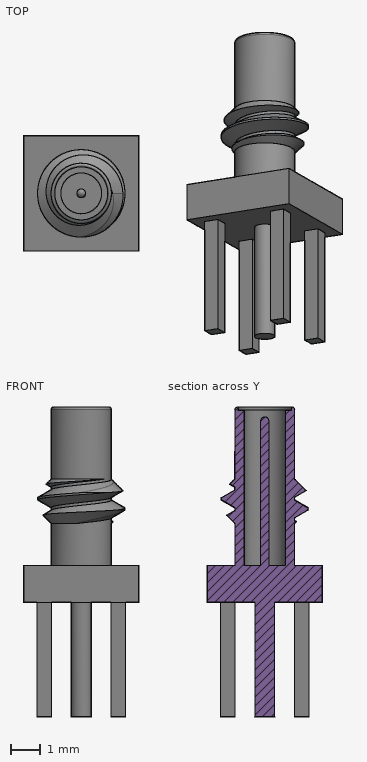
import cadquery as cq
import math

total_height = 10.64
base_side = 3.96
base_height = 1.27
leg_length = 3.93

leg_side = 0.51
leg_spacing = 2.54
contact_tail_diameter = 0.7
contact_pin_diameter = 0.3
pin_tip_below_rim = 0.34

barrel_radius = 1.035
barrel_top = total_height - leg_length
rim_fillet = 0.1
rim_recess_diameter = 1.82
rim_recess_depth = 0.11
bore_diameter = 1.4
bore_floor = base_height

flank_angle = math.radians(30)
thread_major_diameter = 3.0
thread_pitch = 25.4 / 36
crest_flat = 0.07
thread_start = base_height + 1.435
thread_length = 1.524
crest_start = base_height + 1.933
turns_below_crest_start = 1
thread_turns = 4
root_overlap = 0.05


def cylinder(diameter, bottom, top):
    return cq.Workplane("XY").workplane(offset=bottom).circle(diameter / 2).extrude(top - bottom)


def make_base():
    return cq.Workplane("XY").rect(base_side, base_side).extrude(base_height)


def make_legs():
    return (
        cq.Workplane("XY")
        .rarray(leg_spacing, leg_spacing, 2, 2)
        .rect(leg_side, leg_side)
        .extrude(-leg_length)
    )


def make_barrel():
    barrel = cylinder(2 * barrel_radius, base_height, barrel_top)
    return barrel.faces(">Z").edges().fillet(rim_fillet)


def make_thread():
    """Helical ridge trimmed by a 45 degree cone at each end."""
    ridge_start = crest_start - turns_below_crest_start * thread_pitch
    inner_radius = barrel_radius - root_overlap
    crest_radius = thread_major_diameter / 2
    half_crest = crest_flat / 2
    half_inner = half_crest + (crest_radius - inner_radius) * math.tan(flank_angle)
    helix = cq.Wire.makeHelix(
        thread_pitch, thread_turns * thread_pitch, barrel_radius, cq.Vector(0, 0, ridge_start)
    )
    ridge = (
        cq.Workplane("XZ")
        .polyline(
            [
                (inner_radius, ridge_start - half_inner),
                (crest_radius, ridge_start - half_crest),
                (crest_radius, ridge_start + half_crest),
                (inner_radius, ridge_start + half_inner),
            ]
        )
        .close()
        .sweep(cq.Workplane(obj=helix), isFrenet=True)
    )
    thread_end = thread_start + thread_length
    half_length = thread_length / 2
    envelope = (
        cq.Workplane("XZ")
        .polyline(
            [
                (0, thread_start),
                (barrel_radius, thread_start),
                (barrel_radius + half_length, thread_start + half_length),
                (barrel_radius, thread_end),
                (0, thread_end),
            ]
        )
        .close()
        .revolve(360, (0, 0, 0), (0, 1, 0))
    )
    return envelope.intersect(ridge)


def make_bore():
    bore = cylinder(bore_diameter, bore_floor, barrel_top)
    recess = cylinder(rim_recess_diameter, barrel_top - rim_recess_depth, barrel_top)
    return bore.union(recess)


def make_contact():
    """Tail below the base and a round-tipped pin inside the bore."""
    tail = cylinder(contact_tail_diameter, -leg_length, base_height)
    pin_radius = contact_pin_diameter / 2
    sphere_height = barrel_top - pin_tip_below_rim - pin_radius
    pin = cylinder(contact_pin_diameter, 0, sphere_height)
    tip = cq.Workplane("XY").sphere(pin_radius).translate((0, 0, sphere_height))
    return tail.union(pin).union(tip)


shell = make_base().union(make_legs()).union(make_barrel()).union(make_thread())
result = shell.cut(make_bore()).union(make_contact())